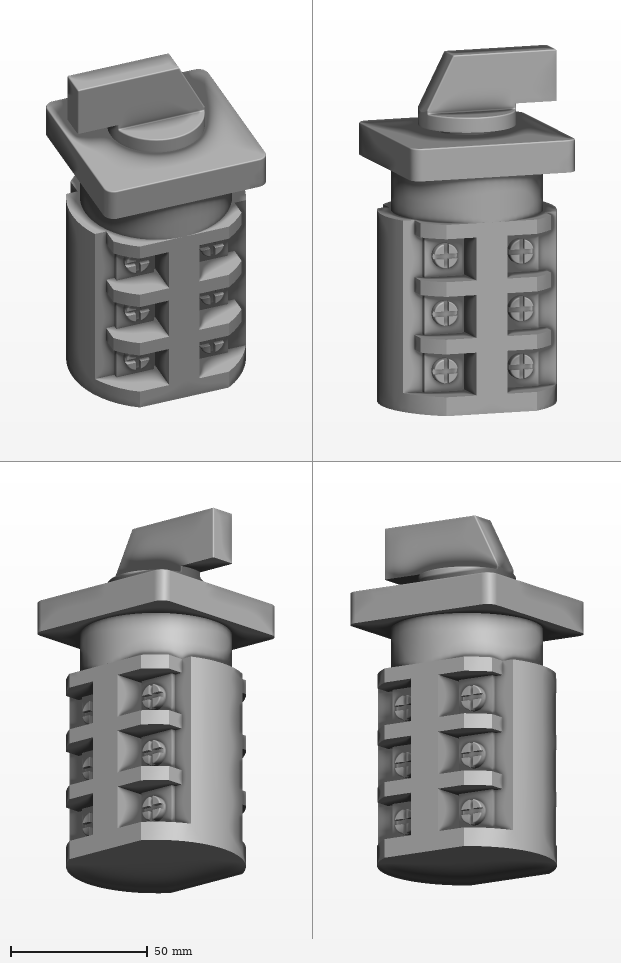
import cadquery as cq

body_radius = 33.0
body_half_width = 28.0
body_height = 71.2
base_height = 7.0
recess_pitch = 21.5
recess_height = 16.0
recess_count = 3
spine_half_width = 14.2
web_half_width = 6.0
shelf_reach = 25.4

pad_thickness = 2.0
pad_inner = 7.3
pad_outer = 22.1
screw_radius = 4.7
screw_height = 3.2
screw_edge_radius = 0.5
screw_slot_width = 2.0
screw_slot_depth = 1.8

plate_bottom = 88.8
plate_top = 100.9
plate_width = 64.0
plate_corner_radius = 4.0
plate_edge_radius = 0.5

shaft_radius = 10.5
disc_radius = 18.0
disc_bottom = 103.1
disc_top = 108.7
disc_edge_radius = 0.5
grip_top = 130.0
grip_width = 10.7
grip_back = 7.0
grip_front = body_radius
grip_overhang_bottom = 110.8
grip_edge_radius = 0.5
grip_foot_radius = 0.5

level_margin = 0.1


def cylinder(radius, bottom, top):
    return cq.Workplane("XY").workplane(offset=bottom).circle(radius).extrude(top - bottom)


def box(x_range, y_range, z_range):
    """Box spanning the given (low, high) range along each axis."""
    sizes = [high - low for low, high in (x_range, y_range, z_range)]
    corner = (x_range[0], y_range[0], z_range[0])
    return cq.Workplane("XY").box(*sizes, centered=False).translate(corner)


def edges_between(bottom, top):
    """Selector for the edges whose centers lie between two heights."""
    return cq.selectors.BoxSelector((-plate_width, -plate_width, bottom), (plate_width, plate_width, top))


def at_four_corners(shape):
    """The shape together with its mirror images in the XZ and YZ planes."""
    half = shape.union(shape.mirror("XZ"))
    return half.union(half.mirror("YZ"))


def make_screw(center_z):
    """Screw head standing on a pad, facing +X, with a cross slot through its face."""
    pad_face = spine_half_width + pad_thickness
    center_y = (pad_inner + pad_outer) / 2
    head = cq.Workplane("YZ").circle(screw_radius).extrude(screw_height)
    head = head.faces(">X").edges().fillet(screw_edge_radius)
    slot_center = screw_height - screw_slot_depth / 2
    for width, length in ((screw_slot_width, 2 * screw_radius), (2 * screw_radius, screw_slot_width)):
        slot = cq.Workplane("XY").box(screw_slot_depth, width, length)
        head = head.cut(slot.translate((slot_center, 0, 0)))
    return head.translate((pad_face, center_y, center_z))


def make_body():
    """Body with shelves between the recesses; each recess holds one pad and screw."""
    flats = box(
        (-body_half_width, body_half_width), (-body_radius, body_radius), (0, body_height)
    )
    body = cylinder(body_radius, 0, body_height).intersect(flats)

    beside_spine = (spine_half_width, body_radius)
    openings = box(beside_spine, (shelf_reach, body_radius), (base_height, body_height))
    terminals = cq.Workplane("XY")
    for level in range(recess_count):
        bottom = base_height + level * recess_pitch
        height_range = (bottom, bottom + recess_height)
        openings = openings.union(box(beside_spine, (web_half_width, body_radius), height_range))
        pad_depth = (spine_half_width, spine_half_width + pad_thickness)
        pad = box(pad_depth, (pad_inner, pad_outer), height_range)
        terminals = terminals.add(pad.union(make_screw(bottom + recess_height / 2)))
    terminals = terminals.combine()
    return body.cut(at_four_corners(openings)).union(at_four_corners(terminals))


def make_plate():
    plate = (
        cq.Workplane("XY")
        .workplane(offset=plate_bottom)
        .rect(plate_width, plate_width)
        .extrude(plate_top - plate_bottom)
    )
    plate = plate.edges("|Z").fillet(plate_corner_radius)
    return plate.faces(">Z").edges().fillet(plate_edge_radius)


def make_grip():
    """Grip that slopes up from the back of the disc and overhangs it at the front."""
    profile = [
        (disc_radius, disc_top),
        (grip_back, grip_top),
        (-grip_front, grip_top),
        (-grip_front, grip_overhang_bottom),
        (-disc_radius, grip_overhang_bottom),
        (-disc_radius, disc_bottom),
        (disc_radius, disc_bottom),
    ]
    grip = cq.Workplane("YZ").polyline(profile).close().extrude(grip_width / 2, both=True)
    overhang = box(
        (-grip_width, grip_width), (-grip_front, 0), (grip_overhang_bottom, grip_top)
    )
    return grip.intersect(cylinder(disc_radius, disc_bottom, grip_top).union(overhang))


def make_knob():
    """Disc and grip in one piece on a shaft: rounded grip foot, disc rim and upper grip edges."""
    knob = cylinder(disc_radius, disc_bottom, disc_top).union(make_grip())
    disc_top_edges = edges_between(disc_top - level_margin, disc_top + level_margin)
    knob = knob.edges(disc_top_edges).edges("|Y").fillet(grip_foot_radius)
    knob = knob.edges(disc_top_edges).edges("%CIRCLE").fillet(disc_edge_radius)
    upper_grip_edges = edges_between(grip_overhang_bottom + level_margin, grip_top + level_margin)
    knob = knob.edges(upper_grip_edges).fillet(grip_edge_radius)
    return knob.union(cylinder(shaft_radius, plate_top, disc_bottom))


neck = cylinder(body_half_width, body_height, plate_bottom)
result = make_body().union(neck).union(make_plate()).union(make_knob())